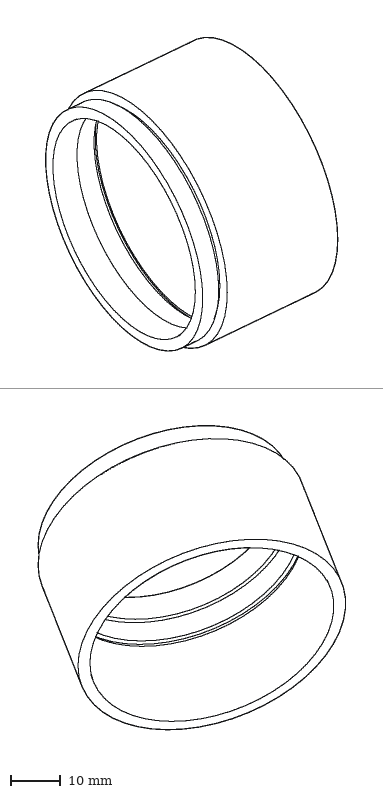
import cadquery as cq

body_diameter = 56.0
body_length = 27.5

lip_diameter = 53.0
lip_length = 4.0
outer_groove_diameter = 51.0
outer_groove_width = 1.0

entry_diameter = 48.0
entry_depth = 6.0
middle_diameter = 50.0
inner_groove_diameter = 52.0
inner_groove_width = 1.0
inner_groove_end = 2 * entry_depth
main_bore_diameter = 51.0

body_start = lip_length + outer_groove_width
total_length = body_start + body_length
inner_groove_start = inner_groove_end - inner_groove_width


def cylinder(diameter, start, end):
    """Solid cylinder about Y, spanning start to end."""
    base = cq.Workplane("XZ", origin=(0, start, 0))
    return base.circle(diameter / 2).extrude(start - end)


def stepped_shaft(steps):
    """Coaxial cylinders joined end to end, each given as (diameter, end), from Y = 0."""
    shaft = cq.Workplane("XZ")
    start = 0
    for diameter, end in steps:
        shaft = shaft.union(cylinder(diameter, start, end))
        start = end
    return shaft


outside = stepped_shaft([
    (lip_diameter, lip_length),
    (outer_groove_diameter, body_start),
    (body_diameter, total_length),
])

bore = stepped_shaft([
    (entry_diameter, entry_depth),
    (middle_diameter, inner_groove_start),
    (inner_groove_diameter, inner_groove_end),
    (main_bore_diameter, total_length),
])

result = outside.cut(bore)